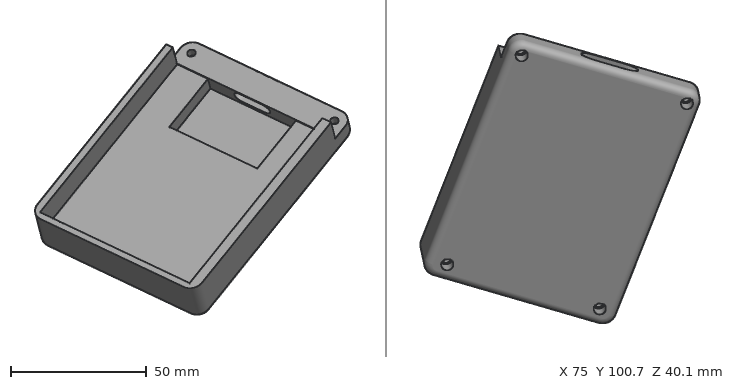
import cadquery as cq

width = 75.0
length = 100.0
height = 18.5
corner_radius = 5.0
bottom_radius = 3.0
tilt_angle = 15.0

left_wall = 3.0
right_wall = 4.0
front_wall = 2.5
floor_thickness = 8.0
ledge_length = 11.5
ledge_height = 8.5

tray_width = width - left_wall - right_wall
tray_center_x = (left_wall - right_wall) / 2
ledge_front_y = length - ledge_length
tray_length = ledge_front_y - front_wall

pocket_width = 40.0
pocket_length = 25.0
pocket_floor = 2.0

slot_straight = 10.5
slot_height = 4.5
slot_center_x = -0.8
slot_center_z = 5.65
slot_inner_width = 16.3
slot_outer_width = 22.4
slot_flare_depth = 3.0

hole_diameter = 3.2
counterbore_diameter = 4.5
counterbore_depth = 5.0
rear_hole_spacing = 65.0
rear_hole_inset = 5.0
front_hole_spacing = 60.0
front_hole_y = 6.5


def block(size_x, size_y, size_z, center_x, start_y, start_z):
    """Box centered on center_x that starts at start_y and start_z."""
    return (
        cq.Workplane("XY")
        .box(size_x, size_y, size_z, centered=(True, False, False))
        .translate((center_x, start_y, start_z))
    )


def make_body():
    body = block(width, length, height, 0, 0, 0)
    body = body.edges("|Z").fillet(corner_radius)
    return body.faces("<Z").edges().fillet(bottom_radius)


def tray_cut():
    return block(tray_width, tray_length, height, tray_center_x, front_wall, floor_thickness)


def ledge_cut():
    return block(width, ledge_length, height, 0, ledge_front_y, ledge_height)


def pocket_cut():
    pocket_front_y = ledge_front_y - pocket_length
    return block(pocket_width, pocket_length, height, tray_center_x, pocket_front_y, pocket_floor)


def slot_outline(slot_width, y):
    """Closed slot outline in the vertical plane at y."""
    end_radius = (slot_width - slot_straight) / 2
    half_straight = slot_straight / 2
    half_height = slot_height / 2
    return (
        cq.Workplane("XZ", origin=(slot_center_x, y, slot_center_z))
        .moveTo(-half_straight, -half_height)
        .lineTo(half_straight, -half_height)
        .ellipseArc(end_radius, half_height, -90, 90)
        .lineTo(-half_straight, half_height)
        .ellipseArc(end_radius, half_height, 90, 270)
        .close()
        .val()
    )


def slot_cut():
    pocket_end = slot_outline(slot_inner_width, ledge_front_y)
    flare_start = slot_outline(slot_inner_width, length - slot_flare_depth)
    rear_end = slot_outline(slot_outer_width, length)
    return cq.Workplane(cq.Solid.makeLoft([pocket_end, flare_start, rear_end], True))


def screw_hole(x, y):
    hole = cq.Workplane("XY").circle(hole_diameter / 2).extrude(height)
    counterbore = cq.Workplane("XY").circle(counterbore_diameter / 2).extrude(counterbore_depth)
    return hole.union(counterbore).translate((x, y, 0))


part = make_body().cut(tray_cut()).cut(ledge_cut()).cut(pocket_cut()).cut(slot_cut())
for side in (-1, 1):
    part = part.cut(screw_hole(side * rear_hole_spacing / 2, length - rear_hole_inset))
    part = part.cut(screw_hole(tray_center_x + side * front_hole_spacing / 2, front_hole_y))

result = part.rotate((0, 0, 0), (1, 0, 0), tilt_angle)